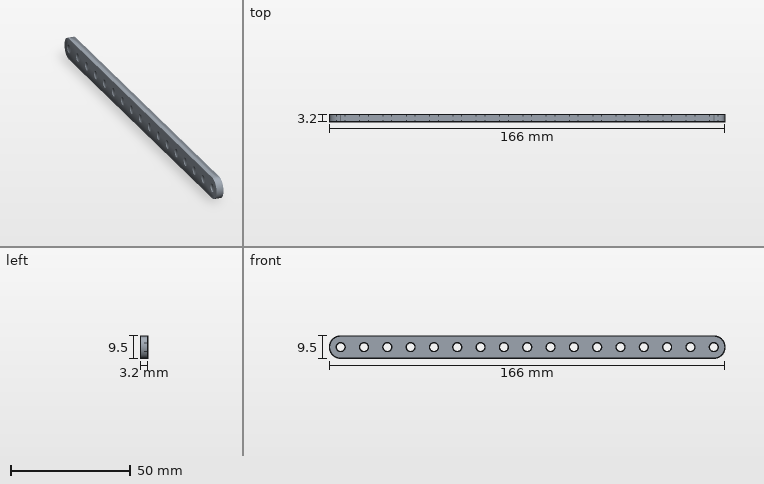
import cadquery as cq

length = 166.0
width = 9.5
thickness = 3.2
hole_count = 17
hole_diameter = 3.7

hole_pitch = (length - width) / (hole_count - 1)


def make_bar():
    """Rounded bar centred on the origin, with its broad faces normal to Y."""
    return cq.Workplane("XZ").slot2D(length, width).extrude(thickness / 2, both=True)


def drill_holes(bar):
    """Evenly spaced row of through holes along the bar's centreline."""
    return (
        bar.faces("<Y")
        .workplane(centerOption="CenterOfBoundBox")
        .rarray(hole_pitch, width, hole_count, 1)
        .hole(hole_diameter)
    )


result = drill_holes(make_bar())